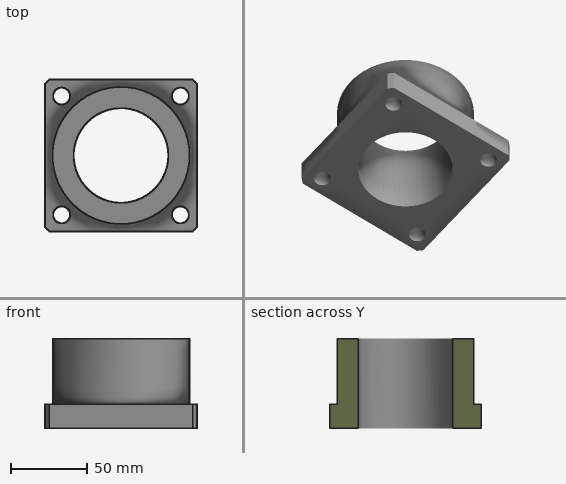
import cadquery as cq

flange_side = 100.0
flange_thickness = 16.0
corner_chamfer = 3.0

total_height = 59.0
sleeve_diameter = 90.0
bore_diameter = 62.0

bolt_hole_diameter = 11.0
bolt_hole_spacing = 78.0


def make_flange():
    """Square plate resting on Z = 0 with bevelled upright corners."""
    plate = cq.Workplane("XY").box(
        flange_side, flange_side, flange_thickness, centered=(True, True, False)
    )
    return plate.edges("|Z").chamfer(corner_chamfer)


def make_sleeve():
    """Solid cylinder from the flange underside to the full height."""
    return cq.Workplane("XY").circle(sleeve_diameter / 2).extrude(total_height)


def make_bore():
    """Cutter for the central through bore."""
    return cq.Workplane("XY").circle(bore_diameter / 2).extrude(total_height)


def make_bolt_holes():
    """Cutters for the four through holes in the flange corners."""
    return (
        cq.Workplane("XY")
        .rect(bolt_hole_spacing, bolt_hole_spacing, forConstruction=True)
        .vertices()
        .circle(bolt_hole_diameter / 2)
        .extrude(flange_thickness)
    )


body = make_flange().union(make_sleeve())
result = body.cut(make_bore()).cut(make_bolt_holes())